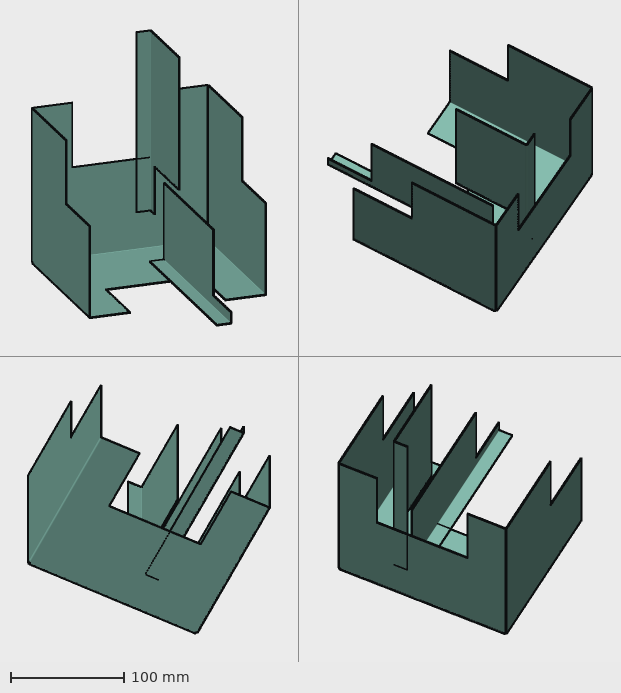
import cadquery as cq

sheet = 1.0
bend_inner = 0.5
bend_outer = bend_inner + sheet

housing_length = 147.0
housing_width = 167.0
housing_height = 147.0
side_leg = 87.0
notch_width = 90.0
notch_start = 86.0
corner_relief = 2.0
wall_setback = 1.1

divider_length = 170.0
divider_height = 73.0
tab_length = 45.0
tab_height = 11.0
flange_width = 14.0

divider_face_y = 29.0
divider_reach = 206.0


def angle_profile(plane, run, rise):
    """L section of bent sheet with its outer corner at the plane's origin."""
    return (
        cq.Workplane(plane)
        .moveTo(run, 0)
        .lineTo(bend_outer, 0)
        .radiusArc((0, bend_outer), bend_outer)
        .lineTo(0, rise)
        .lineTo(sheet, rise)
        .lineTo(sheet, bend_outer)
        .radiusArc((bend_outer, sheet), -bend_inner)
        .lineTo(run, sheet)
        .close()
    )


def make_strip(run, rise, length):
    """Bent strip along +X: outer web face on Y = 0, flange on Z = 0 reaching towards -Y."""
    plane = cq.Plane(origin=(0, 0, 0), xDir=(0, -1, 0), normal=(-1, 0, 0))
    return angle_profile(plane, run, rise).extrude(-length)


def cut_web(strip, start, height, strip_length, strip_height):
    """Lower the strip's web to the given height from start to the strip's far end."""
    cutter = cq.Workplane("XY").box(
        strip_length - start, 2 * sheet, strip_height - height, centered=(False, True, False)
    )
    return strip.cut(cutter.translate((start, 0, height)))


def make_side():
    """Side wall at +Y with its bend and its half of the floor."""
    length = housing_length - corner_relief
    strip = make_strip(housing_width / 2, housing_height, length)
    stepped = cut_web(strip, side_leg - corner_relief, side_leg, length, housing_height)
    corner_edge = cq.Workplane("XY").box(
        corner_relief - wall_setback, sheet, housing_height - corner_relief, centered=False
    )
    wall_inside = housing_width / 2 - sheet
    return stepped.translate((corner_relief, housing_width / 2, 0)).union(
        corner_edge.translate((wall_setback, wall_inside, corner_relief))
    )


def make_back():
    """Back wall with its bend and the floor up to the floor opening."""
    bend_width = housing_width - 2 * corner_relief
    wall_width = housing_width - 2 * wall_setback
    folded = angle_profile("XZ", notch_start, housing_height).extrude(bend_width / 2, both=True)
    wall = cq.Workplane("XY").box(
        sheet, wall_width, housing_height - corner_relief, centered=(False, True, False)
    )
    return folded.union(wall.translate((0, 0, corner_relief)))


def make_housing():
    side = make_side()
    body = make_back().union(side).union(side.mirror("XZ")).clean()
    opening = cq.Workplane("XY").box(housing_length, notch_width, housing_height, centered=(False, True, False))
    floor_notch = opening.translate((notch_start, 0, 0))
    back_notch = opening.translate((0, 0, notch_start))
    return body.cut(floor_notch).cut(back_notch)


def make_divider():
    """Divider along +X with its tab at the far end."""
    strip = make_strip(flange_width, divider_height, divider_length)
    return cut_web(strip, divider_length - tab_length, tab_height, divider_length, divider_height)


housing = make_housing()

floor_divider = make_divider().translate((divider_reach - divider_length, divider_face_y, sheet))

back_divider = (
    make_divider()
    .rotate((0, 0, 0), (0, 1, 0), 90)
    .translate((sheet, divider_face_y, divider_reach))
)

result = cq.Compound.makeCompound([housing.solids().val(), floor_divider.val(), back_divider.val()])